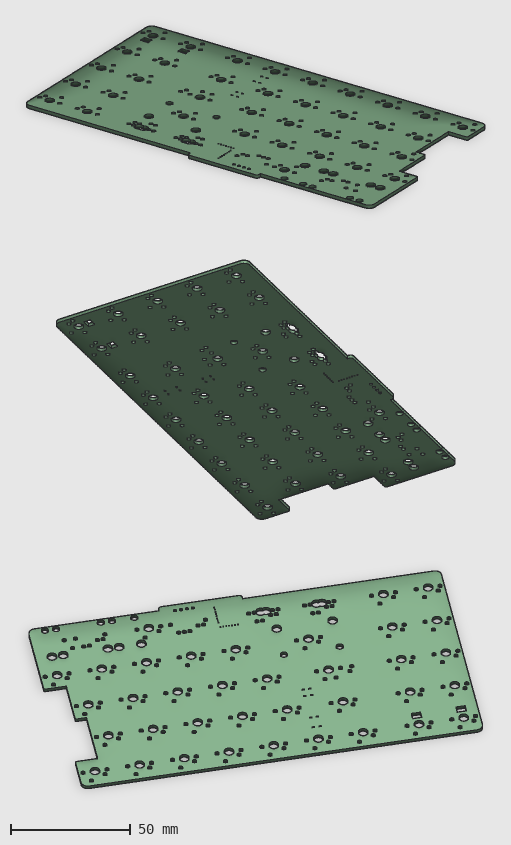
import cadquery as cq


length = 176.0
width = 95.2
thickness = 1.6
corner_radius = 2.8
step_corner_radius = 0.5
left, right = -length / 2, length / 2
bottom, top = -width / 2, width / 2

steps_per_key = 15
widest_row = 8.5
side_margin_steps = 5.5
top_margin_steps = 6.3
grid = length / (steps_per_key * widest_row + 2 * side_margin_steps)
key_pitch = steps_per_key * grid
side_margin = side_margin_steps * grid
top_margin = top_margin_steps * grid
first_x = left + side_margin
first_y = top - top_margin

stem_diameter = 4.0
peg_diameter = 1.75
pin_diameter = 1.7
stabilizer_small_diameter = 3.0
stabilizer_large_diameter = 4.0
header_diameter = 1.2
via_diameter = 0.4

PEGS = [(-4 * grid, 0), (4 * grid, 0)]
PINS = [(-3 * grid, 2 * grid), (2 * grid, 4 * grid)]
LEFT_PEG, RIGHT_PEG = PEGS
RIGHT_PIN = PINS[1]
stabilizer_small_offset = 5.5 * grid
stabilizer_large_offset = 6.5 * grid

SWITCH_ROWS = [
    [0, 1, 2.25, 3.25, 4.25, 5.25, 6.25, 7.25, 8.25],
    [0, 1, 2.5, 3.75, 4.75, 5.75, 6.75, 7.75],
    [0, 1, 4, 5, 6, 7, 8],
    [0, 1, 2.875, 4.5, 5.5, 6.5, 7.5, 8.5],
    [0, 1, 2.375, 2.5, 3.625, 3.75, 6.25],
]
TOP_ROW, TAB_KEY_ROW, CAPS_ROW, SHIFT_ROW, BOTTOM_ROW = range(len(SWITCH_ROWS))

top_step_x = first_x + SWITCH_ROWS[TOP_ROW][-1] * key_pitch + side_margin
upper_notch_x = first_x + SWITCH_ROWS[TAB_KEY_ROW][-1] * key_pitch + side_margin
lower_notch_x = first_x + SWITCH_ROWS[CAPS_ROW][-1] * key_pitch + side_margin
upper_notch_top = 32.7
upper_notch_bottom = 8.8
lower_notch_bottom = -10.5
tab_depth = 2.1
tab_left = -3.7
tab_right = 32.0
tab_radius = 1.4
main_bottom = bottom + tab_depth


def switch_centre(column, row):
    return first_x + column * key_pitch, first_y - row * key_pitch


def offset_points(centre, offsets):
    return [(centre[0] + dx, centre[1] + dy) for dx, dy in offsets]


def drill(points, diameter):
    """Cutters for round through holes."""
    circles = cq.Workplane("XY").pushPoints(points).circle(diameter / 2)
    return circles.extrude(thickness, combine=False).vals()


def switch_holes(columns, row, pegs=PEGS, pins=PINS, with_stem=True):
    """Cutters for switch footprints; pegs, pins and the stem hole can be left out."""
    cutters = []
    for column in columns:
        centre = switch_centre(column, row)
        if with_stem:
            cutters += drill([centre], stem_diameter)
        for offsets, diameter in [(pegs, peg_diameter), (pins, pin_diameter)]:
            if offsets:
                cutters += drill(offset_points(centre, offsets), diameter)
    return cutters


def stabilizer_holes(columns, row, large_side):
    """Cutters for stabilizers; large_side is 1 with the large hole above the row, -1 below."""
    centres = [switch_centre(column, row) for column in columns]
    large = [(x, y + large_side * stabilizer_large_offset) for x, y in centres]
    small = [(x, y - large_side * stabilizer_small_offset) for x, y in centres]
    return drill(large, stabilizer_large_diameter) + drill(small, stabilizer_small_diameter)


def make_plate():
    plate = (
        cq.Workplane("XY")
        .moveTo(left, main_bottom)
        .lineTo(tab_left, main_bottom)
        .lineTo(tab_left, bottom)
        .lineTo(tab_right, bottom)
        .lineTo(tab_right, main_bottom)
        .lineTo(right, main_bottom)
        .lineTo(right, lower_notch_bottom)
        .lineTo(lower_notch_x, lower_notch_bottom)
        .lineTo(lower_notch_x, upper_notch_bottom)
        .lineTo(upper_notch_x, upper_notch_bottom)
        .lineTo(upper_notch_x, upper_notch_top)
        .lineTo(top_step_x, upper_notch_top)
        .lineTo(top_step_x, top)
        .lineTo(left, top)
        .close()
        .extrude(thickness)
    )
    rounded_corners = [
        (corner_radius, [(left, main_bottom), (left, top), (top_step_x, top), (right, main_bottom)]),
        (tab_radius, [(tab_left, bottom), (tab_right, bottom)]),
        (step_corner_radius, [(top_step_x, upper_notch_top), (lower_notch_x, upper_notch_bottom),
                              (right, lower_notch_bottom)]),
    ]
    for radius, corners in rounded_corners:
        for x, y in corners:
            corner_edge = cq.selectors.NearestToPointSelector((x, y, thickness / 2))
            plate = plate.edges("|Z").edges(corner_edge).fillet(radius)
    return plate


cutters = []

for row, columns in enumerate(SWITCH_ROWS):
    cutters += switch_holes(columns, row)

cutters += switch_holes([2.625], CAPS_ROW, pins=[RIGHT_PIN])
cutters += switch_holes([2.375], CAPS_ROW, with_stem=False)

PARTIAL_FOOTPRINTS = [
    (5.25, [LEFT_PEG], PINS),
    (5.375, [], PINS),
    (5.5, [RIGHT_PEG], [RIGHT_PIN]),
    (7.5, [LEFT_PEG], PINS),
    (7.625, [RIGHT_PEG], PINS),
    (7.875, [RIGHT_PEG], [RIGHT_PIN]),
]
for column, pegs, pins in PARTIAL_FOOTPRINTS:
    cutters += switch_holes([column], BOTTOM_ROW, pegs, pins, with_stem=False)

cutters += stabilizer_holes([2.25, 3.5], SHIFT_ROW, -1)
cutters += stabilizer_holes([6.5, 7, 7.25, 8.25, 8.5], BOTTOM_ROW, 1)

light_length = 3.9
light_width = 3.0
light_offset = 4 * grid
lit_switches = [switch_centre(0, TOP_ROW), switch_centre(1, TOP_ROW)]
light_centres = [(x, y - light_offset) for x, y in lit_switches]
light_windows = cq.Workplane("XY").pushPoints(light_centres).rect(light_length, light_width)
cutters += light_windows.extrude(thickness, combine=False).vals()

slot_length = 1.0
slot_width = 0.5
slot_pair_x = -19.7
slot_pair_spacing = 2.8
slot_heights = [32.7, 27.1, 14.5, 10.7]
slot_centres = [
    (slot_pair_x + side * slot_pair_spacing / 2, y) for y in slot_heights for side in (-1, 1)
]
slots = cq.Workplane("XY").pushPoints(slot_centres).slot2D(slot_length, slot_width)
cutters += slots.extrude(thickness, combine=False).vals()

via_row_x, via_row_y, via_row_count = 1.0, -31.3, 7
via_column_x, via_column_y, via_column_count = 9.0, -34.0, 8
via_row = [(via_row_x + i * grid, via_row_y) for i in range(via_row_count)]
via_column = [(via_column_x, via_column_y - i * grid) for i in range(via_column_count)]
cutters += drill(via_row + via_column, via_diameter)

header_x, header_y, header_count = 17.8, -44.3, 4
header_pitch = 2 * grid
header = [(header_x + i * header_pitch, header_y) for i in range(header_count)]
cutters += drill(header, header_diameter)

result = cq.Workplane(make_plate().val().cut(*cutters))